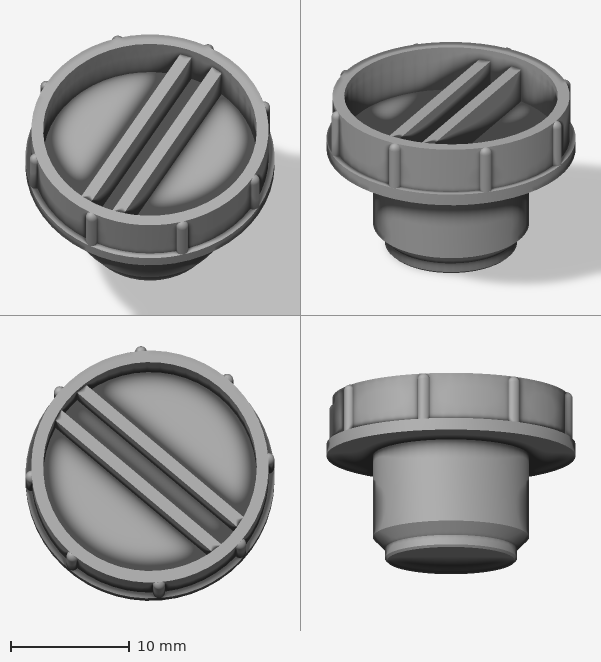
import cadquery as cq

total_height = 14.0
flange_height = 1.0
cup_depth = 4.0
taper_height = 1.0
tip_height = 1.0
tip_chamfer = 0.19

flange_diameter = 21.0
cup_inner_diameter = 18.0
shaft_diameter = 13.17
tip_diameter = 11.15

rib_count = 8
rib_radius = 0.5
cup_outer_radius = flange_diameter / 2 - rib_radius

bar_thickness = 1.0
bar_gap = 2.0
bar_height = 3.0

shaft_bottom = tip_height + taper_height
floor_level = total_height - cup_depth
flange_bottom = floor_level - flange_height


def make_body():
    """Solid of revolution: tip, taper, shaft, flange and cup."""
    tip_radius = tip_diameter / 2
    profile = (
        cq.Workplane("XZ")
        .lineTo(tip_radius - tip_chamfer, 0)
        .lineTo(tip_radius, tip_chamfer)
        .lineTo(tip_radius, tip_height)
        .lineTo(shaft_diameter / 2, shaft_bottom)
        .lineTo(shaft_diameter / 2, flange_bottom)
        .lineTo(flange_diameter / 2, flange_bottom)
        .lineTo(flange_diameter / 2, floor_level)
        .lineTo(cup_outer_radius, floor_level)
        .lineTo(cup_outer_radius, total_height)
        .lineTo(cup_inner_diameter / 2, total_height)
        .lineTo(cup_inner_diameter / 2, floor_level)
        .lineTo(0, floor_level)
        .close()
    )
    return profile.revolve(360, (0, 0), (0, 1))


def make_ribs():
    """Round grip ribs with domed tops, kept clear of the cup's inside."""
    straight_height = cup_depth - rib_radius
    rib_profile = (
        cq.Workplane("XZ", origin=(0, 0, flange_bottom))
        .lineTo(rib_radius, 0)
        .lineTo(rib_radius, flange_height + straight_height)
        .radiusArc((0, flange_height + cup_depth), -rib_radius)
        .close()
    )
    rib = rib_profile.revolve(360, (0, 0), (0, 1)).translate((cup_outer_radius, 0, 0))
    ribs = cq.Workplane("XY")
    for i in range(rib_count):
        ribs = ribs.add(rib.rotate((0, 0, 0), (0, 0, 1), i * 360 / rib_count))
    return ribs.combine()


def make_bars():
    """Two bars along Y whose ends follow the cup wall."""
    bar_offset = (bar_gap + bar_thickness) / 2
    root_level = flange_bottom
    bars = (
        cq.Workplane("XY", origin=(0, 0, root_level))
        .pushPoints([(-bar_offset, 0), (bar_offset, 0)])
        .rect(bar_thickness, flange_diameter)
        .extrude(flange_height + bar_height)
    )
    envelope = (
        cq.Workplane("XY", origin=(0, 0, root_level))
        .circle((cup_outer_radius + cup_inner_diameter / 2) / 2)
        .extrude(flange_height + cup_depth)
    )
    return bars.intersect(envelope)


result = make_body().union(make_ribs()).union(make_bars())